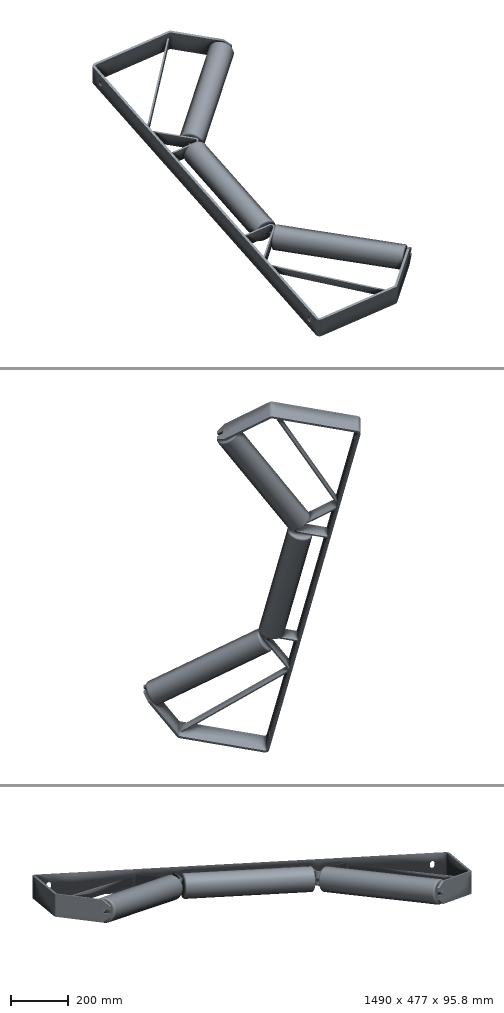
import cadquery as cq
import math

frame_length = 1490.0
frame_height = 477.0
frame_width = 80.0
frame_thickness = 9.0
bend_radius = 10.0
bend_height = 319.0
trough_angle = 45.0
tip_chamfer_length = 30.0
tip_chamfer_depth = 20.0
mount_slot_width = 18.0
mount_slot_height = 25.0
mount_slot_inset = 60.0

bracket_width = 50.0
bracket_thickness = 6.0

brace_width = 30.0
brace_thickness = 6.0
brace_top_height = 313.0
brace_foot_gap = 15.0

drum_diameter = 90.0
drum_length = 465.0
drum_fillet = 6.0
shaft_diameter = 20.0
shaft_flats = 13.0
side_outer_gap = 6.0
leg_gap = 1.0
post_gap = 5.0
side_shaft_overhang = 7.0
side_axis_below_tip = 33.0
center_axis_height = 103.0
roller_drop = 6.0

angle = math.radians(trough_angle)
plate_dir = cq.Vector(math.cos(angle), math.sin(angle), 0)
roller_dir = cq.Vector(math.sin(angle), -math.cos(angle), 0)

upright_x = -frame_length / 2 + frame_thickness / 2
tip_y = frame_height - frame_thickness / 2 * math.cos(angle)
tip_x = upright_x + (tip_y - bend_height) / math.tan(angle)
tip = cq.Vector(tip_x, tip_y, 0)

drum_start = frame_thickness / 2 + side_outer_gap
side_span = drum_start + drum_length + leg_gap + bracket_thickness / 2
side_origin = tip - plate_dir * side_axis_below_tip
leg = side_origin + roller_dir * side_span
foot_y = frame_thickness
foot_x = leg.x - (leg.y - foot_y) / math.tan(angle)
center_span = drum_length + 2 * post_gap + bracket_thickness
post_x = -center_span / 2
ridge_y = leg.y + (post_x - leg.x) * math.tan(angle)

tilt = cq.Vector(0, 0, roller_drop / side_span)
side_plane = cq.Plane(
    origin=side_origin,
    xDir=roller_dir - tilt,
    normal=cq.Vector(0, 0, 1) + roller_dir * tilt.z,
)
center_plane = cq.Plane(origin=(post_x, center_axis_height, -roller_drop))


def placed(body, plane):
    return cq.Workplane(body.val().moved(plane.location))


def mirrored(body):
    return body.mirror("YZ")


def bent_bar(points, width, thickness):
    """Flat bar standing on edge whose middle follows the points with rounded bends."""
    corners = cq.Wire.makePolygon([cq.Vector(x, y, 0) for x, y in points])
    path = corners.fillet(bend_radius, corners.Vertices()[1:-1])
    (x0, y0), (x1, y1) = points[:2]
    section = cq.Plane(origin=(x0, y0, 0), xDir=(0, 0, 1), normal=(x1 - x0, y1 - y0, 0))
    return cq.Workplane(section).rect(width, thickness).sweep(cq.Workplane(path))


def shaft_slot(plane, position):
    """Cutter for an open slot with parallel sides, square on to the roller's axis."""
    reach = 2 * side_axis_below_tip
    depth = 2 * frame_thickness
    slot = cq.Workplane().box(depth, reach, shaft_flats)
    return placed(slot.translate((position, (reach - shaft_diameter) / 2, 0)), plane)


def tip_chamfers():
    """Cutters for both corners of the left-hand end plate's tip."""
    plate_face = cq.Plane(origin=tip, xDir=plate_dir, normal=roller_dir * -1)
    edge = frame_width / 2
    corner = (
        cq.Workplane(plate_face)
        .polyline([(0, edge), (-tip_chamfer_length, edge), (0, edge - tip_chamfer_depth)])
        .close()
        .extrude(frame_thickness, both=True)
    )
    return corner.add(corner.mirror("XY")).combine()


def make_frame():
    left = [(tip_x, tip_y), (upright_x, bend_height), (upright_x, frame_thickness / 2)]
    right = [(-x, y) for x, y in reversed(left)]
    frame = bent_bar(left + right, frame_width, frame_thickness)
    for cutter in (tip_chamfers(), shaft_slot(side_plane, 0)):
        frame = frame.cut(cutter).cut(mirrored(cutter))
    slot_x = frame_length / 2 - mount_slot_inset
    mount_slots = (
        cq.Workplane("XZ")
        .pushPoints([(-slot_x, 0), (slot_x, 0)])
        .slot2D(mount_slot_height, mount_slot_width, 90)
        .extrude(-frame_thickness)
    )
    return frame.cut(mount_slots)


def make_bracket():
    """Left-hand bracket, with its leg trimmed flush with the base of the frame."""
    spare = bracket_width
    leg_end = (foot_x - spare / math.tan(angle), foot_y - spare)
    points = [(post_x, foot_y), (post_x, ridge_y), leg_end]
    bracket = bent_bar(points, bracket_width, bracket_thickness)
    below_base = cq.Workplane().box(frame_length, 2 * spare, frame_width)
    below_base = below_base.translate((0, foot_y - spare, 0))
    return (
        bracket.cut(below_base)
        .cut(shaft_slot(side_plane, side_span))
        .cut(shaft_slot(center_plane, 0))
    )


def make_brace():
    """Left-hand brace, mitred against the upright and the base."""
    top_x = upright_x + frame_thickness / 2
    foot_end = foot_x - brace_foot_gap
    lean = math.atan2(brace_top_height - foot_y, foot_end - top_x)
    outline = [
        (top_x, brace_top_height),
        (top_x, brace_top_height - brace_thickness / math.cos(lean)),
        (foot_end - brace_thickness / math.sin(lean), foot_y),
        (foot_end, foot_y),
    ]
    return cq.Workplane().polyline(outline).close().extrude(brace_width / 2, both=True)


def make_roller(plane, drum_offset, ends, flats):
    """Drum with a shaft between two ends, flattened over each of the given stretches."""
    drum = cq.Workplane("YZ", origin=(drum_offset, 0, 0)).circle(drum_diameter / 2).extrude(drum_length)
    drum = drum.faces("<X or >X").edges().fillet(drum_fillet)
    start, end = ends
    shaft = cq.Workplane("YZ", origin=(start, 0, 0)).circle(shaft_diameter / 2).extrude(end - start)
    for flat_start, flat_end in flats:
        length = flat_end - flat_start
        round_part = cq.Workplane().box(length, shaft_diameter, shaft_diameter)
        flat_part = cq.Workplane().box(length, shaft_diameter, shaft_flats)
        shaft = shaft.cut(round_part.cut(flat_part).translate(((flat_start + flat_end) / 2, 0, 0)))
    return placed(drum.union(shaft), plane)


def make_side_roller():
    """Left-hand side roller, flattened from each drum face to the shaft's end."""
    start = -frame_thickness / 2
    end = side_span + bracket_thickness / 2 + side_shaft_overhang
    flats = [(start, drum_start), (drum_start + drum_length, end)]
    return make_roller(side_plane, drum_start, (start, end), flats)


def make_center_roller():
    """Center roller, its shaft flush with the far faces of both posts."""
    half_post = bracket_thickness / 2
    start = -half_post
    end = center_span + half_post
    offset = half_post + post_gap
    flats = [(start, offset), (offset + drum_length, end)]
    return make_roller(center_plane, offset, (start, end), flats)


frame = make_frame()
center_roller = make_center_roller()
bodies = [frame.val(), center_roller.val()]
for paired_body in (make_bracket(), make_brace(), make_side_roller()):
    bodies += [paired_body.val(), mirrored(paired_body).val()]

result = cq.Compound.makeCompound(bodies)